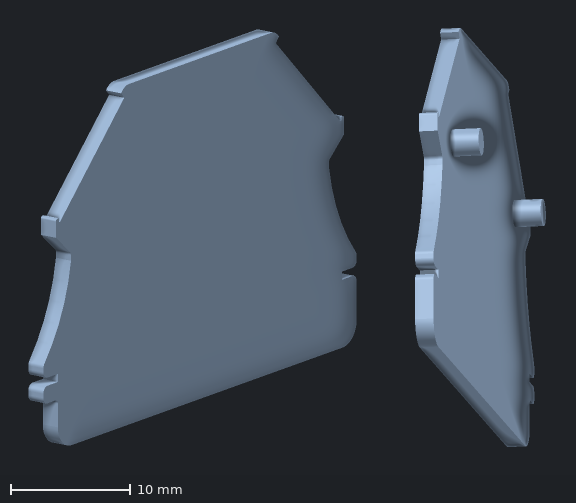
import cadquery as cq

length = 44.0
height = 29.7
total_depth = 4.0
plate_thickness = 1.6
half_length = length / 2

base_corner_radius = 2.0
slot_floor_y = 19.98
slot_bottom_z = 5.95
slot_top_z = 6.65
lip_radius = 0.55
tab_height = 1.55
tab_root_radius = 0.35

flank_foot = (half_length, 7.8)
flank_middle = (19.3, 12.05)
flank_top = (18.15, 16.1)
throat = (18.15, 16.75)
throat_radius = 0.35

lug_outer_y = 20.25
lug_inner_y = 19.85
lug_bottom_z = 18.55
lug_top_z = 20.2
lug_corner_radius = 0.2

slope_foot = (19.65, 19.85)
slope_top = (10.65, 28.65)
rim_tip = (11.1, 29.15)
rim_shoulder = (10.8, 29.45)
rim_flat_y = 10.05

pin_diameter = 2.3
pin_length = total_depth - plate_thickness
pin_y = 13.55
pin_z = 19.0


def symmetric_blank():
    """Plate blank, symmetric about Y = 0, with sharp lug and base corners."""
    def mirrored(point):
        return (-point[0], point[1])

    slope_and_rim = [
        (lug_outer_y, lug_bottom_z),
        (lug_outer_y, lug_top_z),
        (lug_inner_y, lug_top_z),
        (lug_inner_y, slope_foot[1]),
        slope_foot,
        slope_top,
        rim_tip,
    ]
    outline = (
        cq.Workplane("YZ")
        .moveTo(-half_length, 0)
        .lineTo(half_length, 0)
        .lineTo(*flank_foot)
        .threePointArc(flank_middle, flank_top)
        .lineTo(*throat)
    )
    for point in slope_and_rim:
        outline = outline.lineTo(*point)
    outline = (
        outline.threePointArc(rim_shoulder, (rim_flat_y, height))
        .lineTo(-rim_flat_y, height)
        .threePointArc(mirrored(rim_shoulder), mirrored(rim_tip))
    )
    for point in reversed(slope_and_rim[:-1]):
        outline = outline.lineTo(*mirrored(point))
    return (
        outline.lineTo(*mirrored(throat))
        .lineTo(*mirrored(flank_top))
        .threePointArc(mirrored(flank_middle), mirrored(flank_foot))
        .close()
        .extrude(plate_thickness)
    )


def edge_cutter(side, bottom_z, top_z):
    """Block removing the plate outside the slot floor on one side."""
    return (
        cq.Workplane("YZ")
        .center(side * (slot_floor_y + half_length) / 2, (bottom_z + top_z) / 2)
        .rect(half_length - slot_floor_y, top_z - bottom_z)
        .extrude(plate_thickness)
    )


def round_corner(body, y, z, radius):
    """Fillet the plate edge that runs along X through (y, z)."""
    corner = cq.selectors.NearestToPointSelector((plate_thickness / 2, y, z))
    return body.edges("|X").edges(corner).fillet(radius)


def pin(side):
    return (
        cq.Workplane("YZ")
        .center(side * pin_y, pin_z)
        .circle(pin_diameter / 2)
        .extrude(-pin_length)
    )


plate = symmetric_blank()
for side in (-1, 1):
    plate = plate.cut(edge_cutter(side, slot_bottom_z, slot_top_z))

tab_bottom_z = slot_bottom_z - tab_height
plate = plate.cut(edge_cutter(-1, 0, tab_bottom_z))

for side in (-1, 1):
    plate = round_corner(plate, side * half_length, slot_bottom_z, lip_radius)
    plate = round_corner(plate, side * half_length, slot_top_z, lip_radius)
    plate = round_corner(plate, side * flank_foot[0], flank_foot[1], lip_radius)
    plate = round_corner(plate, side * throat[0], throat[1], throat_radius)
    plate = round_corner(plate, side * lug_outer_y, lug_top_z, lug_corner_radius)
plate = round_corner(plate, -half_length, tab_bottom_z, lip_radius)
plate = round_corner(plate, -slot_floor_y, tab_bottom_z, tab_root_radius)
plate = round_corner(plate, half_length, 0, base_corner_radius)
plate = round_corner(plate, -slot_floor_y, 0, base_corner_radius)

result = plate
for side in (-1, 1):
    result = result.union(pin(side))